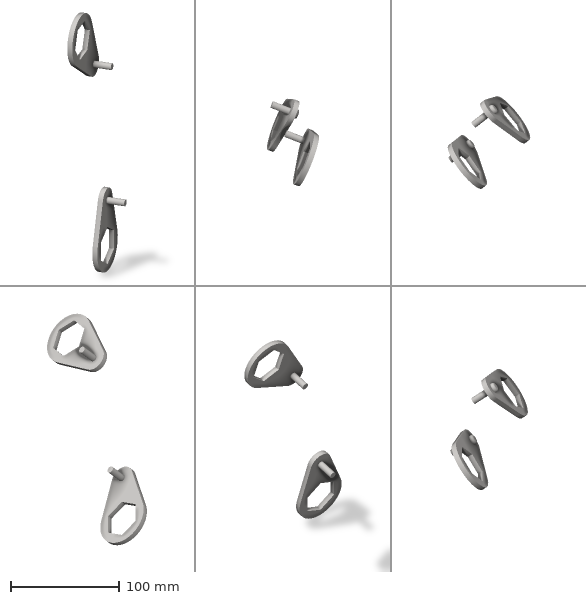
import cadquery as cq
import math

plate_thickness = 5.0
wide_radius = 25.3
narrow_radius = 12.0
centre_distance = 45.0
hexagon_across_flats = 32.0

shank_diameter = 6.5
shank_projection = 17.8
head_diameter = 9.5
head_height = 3.3
head_rounding = 2.2

lower_pin_position = (0, 0)
upper_pin_position = (-33.0, 147.7)
lower_swing = 0
upper_swing = -140
placements = [
    (lower_pin_position, lower_swing),
    (upper_pin_position, upper_swing),
]


def make_plate():
    """Hanging plate with its pin hole at the origin and its -X face at X = 0."""
    tangent_angle = math.asin((wide_radius - narrow_radius) / centre_distance)
    side = math.cos(tangent_angle)
    rise = math.sin(tangent_angle)
    narrow_y = narrow_radius * side
    narrow_z = narrow_radius * rise
    wide_y = wide_radius * side
    wide_z = wide_radius * rise - centre_distance

    blank = (
        cq.Workplane("YZ")
        .moveTo(-narrow_y, narrow_z)
        .threePointArc((0, narrow_radius), (narrow_y, narrow_z))
        .lineTo(wide_y, wide_z)
        .threePointArc((0, -centre_distance - wide_radius), (-wide_y, wide_z))
        .close()
        .extrude(plate_thickness)
    )
    pin_hole = cq.Workplane("YZ").circle(shank_diameter / 2).extrude(plate_thickness)

    hexagon_across_corners = hexagon_across_flats / math.cos(math.pi / 6)
    hexagon = (
        cq.Workplane("YZ")
        .polygon(6, hexagon_across_corners)
        .extrude(plate_thickness)
        .rotate((0, 0, 0), (1, 0, 0), 90)
        .translate((0, 0, -centre_distance))
    )
    return blank.cut(pin_hole).cut(hexagon)


def make_pin():
    """Pin along X with the underside of its head at X = 0."""
    head = (
        cq.Workplane("YZ")
        .circle(head_diameter / 2)
        .extrude(-head_height)
        .faces("<X")
        .edges()
        .fillet(head_rounding)
    )
    shank = cq.Workplane("YZ").circle(shank_diameter / 2).extrude(plate_thickness + shank_projection)
    return head.union(shank)


bodies = []
for (pin_y, pin_z), swing in placements:
    position = (0, pin_y, pin_z)
    plate = make_plate().rotate((0, 0, 0), (1, 0, 0), swing).translate(position)
    pin = make_pin().translate(position)
    bodies += [plate.val(), pin.val()]

result = cq.Compound.makeCompound(bodies)